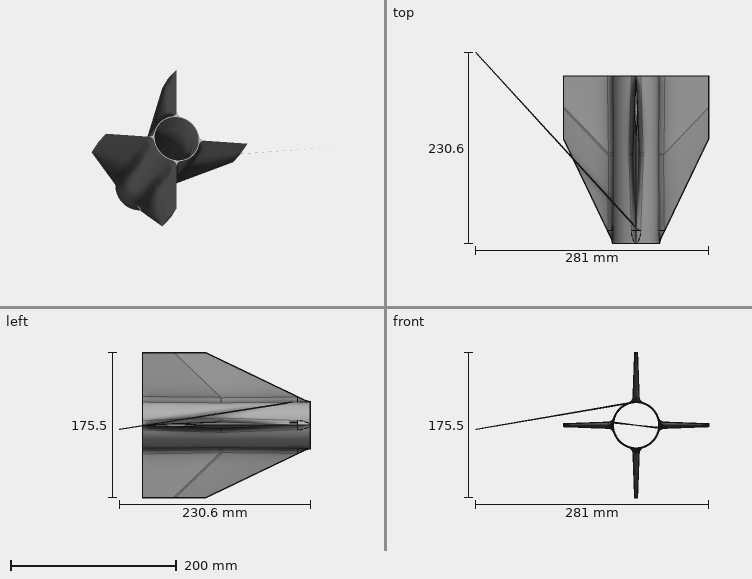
import math

import cadquery as cq

body_length = 202.69
outer_radius = 28.35
inner_radius = 27.35

fin_count = 4
fin_pitch = 360 / fin_count
fin_span = 175.51
tip_radius = fin_span / 2
fin_root_radius = 27.05
root_chord = body_length
tip_chord = 76.2
root_thickness = 8.1
tip_thickness = 3.6
root_flat = 2.7
tip_flat = 2.2

fillet_radius = 7.0
end_allowance = 10.0
edge_tolerance = 0.05

nose_section_count = 6
nose_base_depth = 1.3
nose_base = inner_radius - nose_base_depth
nose_tip_height = 0.02
leading_edge_slope = (tip_radius - fin_root_radius) / (root_chord - tip_chord)
leading_edge_foot = root_chord - (outer_radius - fin_root_radius) / leading_edge_slope
nose_height = math.sqrt((outer_radius + fillet_radius) ** 2 - fillet_radius**2) - outer_radius
nose_start = leading_edge_foot - nose_height / leading_edge_slope


def fin_section(radius, chord, thickness, flat):
    """Diamond whose crest on the +X side is a narrow flat and on the -X side is sharp."""
    half = thickness / 2
    middle = -chord / 2
    corners = [
        (0, 0),
        (half, middle + flat / 2),
        (half, middle - flat / 2),
        (0, -chord),
        (-half, middle),
    ]
    points = [cq.Vector(x, y, radius) for x, y in corners]
    return cq.Wire.makePolygon(points, close=True)


def make_fin():
    """The fin that points to +Z."""
    root = fin_section(fin_root_radius, root_chord, root_thickness, root_flat)
    tip = fin_section(tip_radius, tip_chord, tip_thickness, tip_flat)
    return cq.Workplane(cq.Solid.makeLoft([root, tip], True))


def rod(radius, rear=0.0):
    """Cylinder from the front end of the tube to the plane Y = rear, with its seam between two fins."""
    cylinder = cq.Workplane("XZ", origin=(0, rear, 0)).circle(radius).extrude(body_length + rear)
    return cylinder.rotate((0, 0, 0), (0, 1, 0), fin_pitch / 2)


def is_fin_joint(edge):
    """True for an edge that lies on the tube surface and runs along the tube beside a fin."""
    start, middle, end = (edge.positionAt(part) for part in (0, 0.5, 1))
    on_tube = all(
        abs((point.x**2 + point.z**2) ** 0.5 - outer_radius) < edge_tolerance
        for point in (start, middle, end)
    )
    inside_ends = all(
        -body_length + edge_tolerance < point.y < edge_tolerance for point in (start, middle, end)
    )
    return on_tube and inside_ends


def crest_height(distance):
    """Height of the nose above the tube, at a distance from the rear end.

    The crest follows the leading edge, then runs half as steeply to the tube at the front end.
    """
    along_edge = (leading_edge_foot - distance) * leading_edge_slope
    to_front_end = nose_tip_height + (body_length - distance) * leading_edge_slope / 2
    return max(along_edge, to_front_end)


def nose_section(distance):
    """Two arcs of the fillet radius that touch the tube and meet on the crest, closed inside the bore."""
    crest = outer_radius + crest_height(distance)
    reach = outer_radius + fillet_radius
    angle = math.acos((crest**2 + reach**2 - fillet_radius**2) / (2 * crest * reach))
    centre_x = reach * math.sin(angle)
    centre_z = reach * math.cos(angle)
    foot_x = outer_radius * math.sin(angle)
    foot_z = outer_radius * math.cos(angle)
    chord_x = foot_x / 2 - centre_x
    chord_z = (foot_z + crest) / 2 - centre_z
    scale = fillet_radius / math.hypot(chord_x, chord_z)
    middle_x = centre_x + chord_x * scale
    middle_z = centre_z + chord_z * scale

    def point(x, z):
        return cq.Vector(x, -distance, z)

    top = point(0, crest)
    left_foot = point(-foot_x, foot_z)
    right_foot = point(foot_x, foot_z)
    left_base = point(-foot_x, nose_base)
    right_base = point(foot_x, nose_base)
    edges = [
        cq.Edge.makeThreePointArc(left_foot, point(-middle_x, middle_z), top),
        cq.Edge.makeThreePointArc(top, point(middle_x, middle_z), right_foot),
        cq.Edge.makeLine(right_foot, right_base),
        cq.Edge.makeLine(right_base, left_base),
        cq.Edge.makeLine(left_base, left_foot),
    ]
    return cq.Wire.assembleEdges(edges)


def make_nose():
    """The nose in front of the fin that points to +Z."""
    step = (body_length - nose_start) / (nose_section_count - 1)
    sections = [nose_section(nose_start + index * step) for index in range(nose_section_count)]
    return cq.Workplane(cq.Solid.makeLoft(sections))


def add_around(body, feature):
    """The body with a copy of a +Z feature at each fin position."""
    for index in range(fin_count):
        body = body.union(feature.rotate((0, 0, 0), (0, 1, 0), index * fin_pitch))
    return body


def slab(start, end):
    """Block wider than the part, between two distances from the rear end."""
    plane = cq.Workplane("XZ", origin=(0, -start, 0))
    return plane.rect(2 * fin_span, 2 * fin_span).extrude(end - start)


def make_finned_rod():
    """Solid tube with its filleted fins, which are cut off square where the noses start."""
    finned = add_around(rod(outer_radius, end_allowance), make_fin())
    joints = [edge for edge in finned.edges().vals() if is_fin_joint(edge)]
    finned = finned.newObject(joints).fillet(fillet_radius)
    around_front = slab(nose_start, body_length + end_allowance).cut(rod(outer_radius))
    behind_rear = slab(-2 * end_allowance, 0)
    return finned.cut(around_front).cut(behind_rear)


result = add_around(make_finned_rod(), make_nose()).cut(rod(inner_radius))